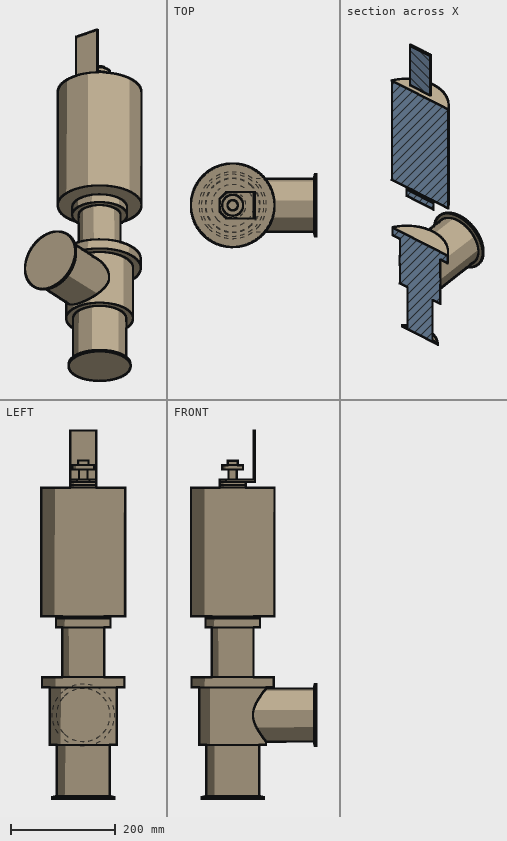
import cadquery as cq

neck_top = 103.0
body_top = 213.0
flange_top = 232.5
collar_bottom = 327.5
collar_top = 344.5
actuator_bottom = 348.5
actuator_top = 594.0
base_washer_top = 599.0
bracket_bottom = 604.5
bracket_top = 609.0
nut_bottom = 628.0
nut_top = 637.0
screw_top = 645.0
overall_height = 703.0

tube_diameter = 102.0
body_diameter = 128.0
flange_diameter = 157.5
stem_diameter = 80.0
collar_diameter = 105.0
actuator_diameter = 160.0

ferrule_diameter = 119.0
rim_thickness = 3.5
ferrule_thickness = 5.5

port_height = 160.0
port_end = 160.0

washer_diameter = 50.0
screw_diameter = 16.0
screw_head_diameter = 20.0
nut_diameter = 40.0
bracket_width = washer_diameter
bracket_back = 43.0
bracket_corner = 13.0
bracket_thickness = bracket_top - bracket_bottom
upright_thickness = 3.0


def disc(diameter, bottom, top):
    """Solid cylinder on the Z axis between two heights."""
    return cq.Workplane("XY").workplane(offset=bottom).circle(diameter / 2).extrude(top - bottom)


def ferruled_tube(length):
    """Tube stub rising from Z = 0, with a clamp ferrule whose back face is conical."""
    tube_radius = tube_diameter / 2
    rim_radius = ferrule_diameter / 2
    return (
        cq.Workplane("XZ")
        .moveTo(0, 0)
        .lineTo(rim_radius, 0)
        .lineTo(rim_radius, rim_thickness)
        .lineTo(tube_radius, ferrule_thickness)
        .lineTo(tube_radius, length)
        .lineTo(0, length)
        .close()
        .revolve(360, (0, 0, 0), (0, 1, 0))
    )


def make_valve():
    """Valve body with its two ports, stem, actuator and lower washer."""
    side_port = (
        ferruled_tube(port_end)
        .rotate((0, 0, 0), (0, 1, 0), -90)
        .translate((port_end, 0, port_height))
    )
    return (
        ferruled_tube(neck_top)
        .union(disc(body_diameter, neck_top, body_top))
        .union(side_port)
        .union(disc(flange_diameter, body_top, flange_top))
        .union(disc(stem_diameter, flange_top, actuator_bottom))
        .union(disc(collar_diameter, collar_bottom, collar_top))
        .union(disc(actuator_diameter, actuator_bottom, actuator_top))
        .union(disc(washer_diameter, actuator_top, base_washer_top))
    )


def make_indicator():
    """Upper washer, L-shaped bracket with clipped corners, screw and nut."""
    front = -bracket_width / 2
    plate = (
        cq.Workplane("XY")
        .box(bracket_back - front, bracket_width, bracket_thickness, centered=(False, True, False))
        .edges("|Z and <X")
        .chamfer(bracket_corner)
        .translate((front, 0, bracket_bottom))
    )
    upright = (
        cq.Workplane("XY")
        .box(upright_thickness, bracket_width, overall_height - bracket_bottom, centered=(False, True, False))
        .translate((bracket_back - upright_thickness, 0, bracket_bottom))
    )
    return (
        disc(washer_diameter, base_washer_top, bracket_bottom)
        .union(plate)
        .union(upright)
        .union(disc(screw_diameter, bracket_top, nut_bottom))
        .union(disc(nut_diameter, nut_bottom, nut_top))
        .union(disc(screw_head_diameter, nut_top, screw_top))
    )


valve = make_valve()
indicator = make_indicator()
result = cq.Compound.makeCompound([valve.val(), indicator.val()])